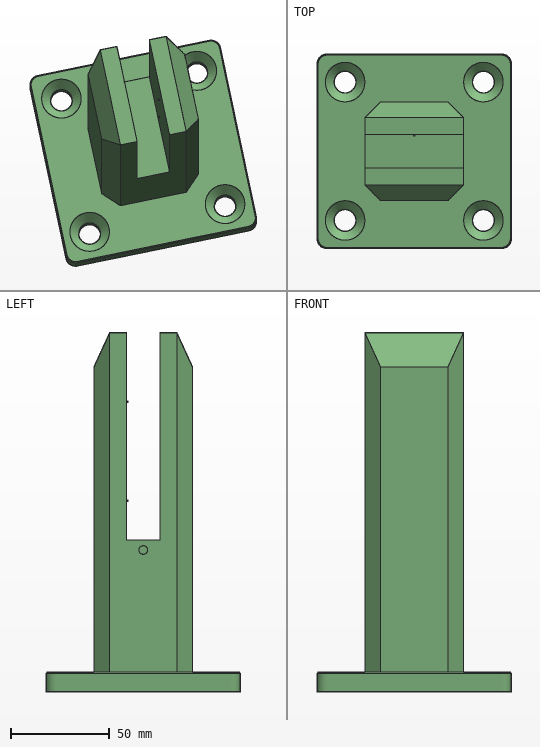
import cadquery as cq

plate_side = 98.5
plate_thickness = 10.0
plate_corner_radius = 5.0
plate_edge_chamfer = 0.5

hole_spacing = 70.0
hole_diameter = 11.0
countersink_diameter = 20.0
countersink_angle = 90

total_height = 182
post_side = 50.0
post_corner_chamfer = 8.0
top_bevel_height = 17.5

slot_width = 16.7
slot_depth = 105.0

pin_hole_diameter = 4.4
pin_hole_depth = 4.0
pin_hole_drop = 5.1

nub_diameter = 0.7
nub_height = 0.7
nub_spacing = 50.0
upper_nub_drop = 35.1

slot_floor = total_height - slot_depth


def make_plate():
    plate = (
        cq.Workplane("XY")
        .rect(plate_side, plate_side)
        .extrude(plate_thickness)
        .edges("|Z")
        .fillet(plate_corner_radius)
        .faces(">Z")
        .chamfer(plate_edge_chamfer)
    )
    return (
        plate.faces(">Z")
        .workplane(origin=(0, 0, plate_thickness))
        .rect(hole_spacing, hole_spacing, forConstruction=True)
        .vertices()
        .cskHole(hole_diameter, countersink_diameter, countersink_angle)
    )


def make_post():
    """Square post with chamfered corners and its -Y and +Y sides bevelled at the top."""
    post = (
        cq.Workplane("XY")
        .rect(post_side, post_side)
        .extrude(total_height)
        .edges("|Z")
        .chamfer(post_corner_chamfer)
    )
    half_side = post_side / 2
    half_top = half_side - post_corner_chamfer
    bevel_start = total_height - top_bevel_height
    side_profile = (
        cq.Workplane("YZ")
        .polyline([
            (-half_side, 0),
            (half_side, 0),
            (half_side, bevel_start),
            (half_top, total_height),
            (-half_top, total_height),
            (-half_side, bevel_start),
        ])
        .close()
        .extrude(half_side, both=True)
    )
    return post.intersect(side_profile)


def make_slot():
    return (
        cq.Workplane("XY", origin=(0, 0, slot_floor))
        .rect(post_side, slot_width)
        .extrude(slot_depth)
    )


def make_pin_hole():
    return (
        cq.Workplane("YZ", origin=(-post_side / 2, 0, slot_floor - pin_hole_drop))
        .circle(pin_hole_diameter / 2)
        .extrude(pin_hole_depth)
    )


def make_nubs():
    """Nubs pointing to -Y, rooted in the wall by their own height."""
    upper_nub = total_height - upper_nub_drop
    return (
        cq.Workplane("XZ", origin=(0, slot_width / 2 + nub_height, 0))
        .pushPoints([(0, upper_nub), (0, upper_nub - nub_spacing)])
        .circle(nub_diameter / 2)
        .extrude(2 * nub_height)
    )


result = make_plate().union(make_post()).cut(make_slot()).cut(make_pin_hole()).union(make_nubs())